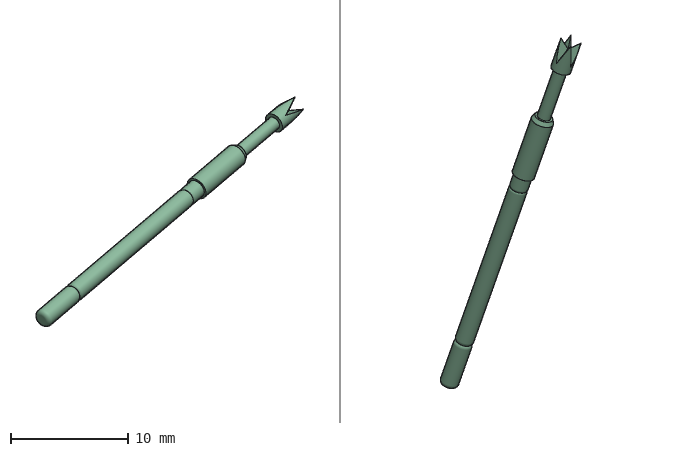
import cadquery as cq
import math


total_length = 36.0
head_length = 3.0
plunger_length = 5.0
collar_length = 6.0
collar_chamfer_length = 0.4

head_radius = 0.9
plunger_radius = 0.59
collar_radius = 1.0
collar_chamfer_width = 0.2
barrel_radius = 0.82
end_round = 0.4

front_crimp_distance = 1.45
front_crimp_half_width = 0.2
front_crimp_depth = 0.08
rear_crimp_distance = 17.5
rear_crimp_half_width = 0.3
rear_crimp_depth = 0.14

tooth_count = 4
crown_axis_depth = head_radius
crown_rim_depth = 2.2
valley_overlap = 0.1
valley_clearance = 0.2

collar_front = collar_length
head_rear = collar_front + plunger_length
tip = head_rear + head_length
barrel_end = tip - total_length


def make_barrel():
    """Solid cylinder with a rounded rear end; its front meets the rear face of the collar."""
    barrel = cq.Workplane("XZ").circle(barrel_radius).extrude(-barrel_end)
    return barrel.faces("<Y").edges().fillet(end_round)


def crimp_cutter(distance, half_width, depth):
    """Ring whose section is bounded by two convex arcs, each tangent to the barrel wall."""
    centre = -distance
    roll_radius = (half_width**2 + depth**2) / (2 * depth)
    half_sweep = math.asin(half_width / roll_radius) / 2
    mid_offset = half_width - roll_radius * math.sin(half_sweep)
    mid_radius = barrel_radius - roll_radius * (1 - math.cos(half_sweep))
    outside = collar_radius
    return (
        cq.Workplane("XY")
        .moveTo(outside, centre - half_width)
        .lineTo(barrel_radius, centre - half_width)
        .threePointArc((mid_radius, centre - mid_offset), (barrel_radius - depth, centre))
        .threePointArc((mid_radius, centre + mid_offset), (barrel_radius, centre + half_width))
        .lineTo(outside, centre + half_width)
        .close()
        .revolve(360, (0, 0, 0), (0, 1, 0))
    )


def make_collar():
    """Press ring with a tapered lead-in at its front edge."""
    collar = cq.Workplane("XZ").circle(collar_radius).extrude(-collar_length)
    return collar.faces(">Y").chamfer(collar_chamfer_length, collar_chamfer_width)


def make_plunger():
    """Thin plunger shaft carrying the larger cylindrical head."""
    shaft = cq.Workplane("XZ").circle(plunger_radius).extrude(-head_rear)
    head = cq.Workplane("XZ", origin=(0, head_rear, 0)).circle(head_radius).extrude(-head_length)
    return shaft.union(head)


def valley_cutter():
    """V groove running outward along +Z, its floor sinking from the axis to the rim."""
    inner = -valley_overlap
    outer = head_radius + valley_clearance
    floor_slope = (crown_rim_depth - crown_axis_depth) / head_radius
    half_pitch = math.pi / tooth_count
    tip_reach = head_radius * math.cos(half_pitch)
    tip_offset = head_radius * math.sin(half_pitch)
    flank_slope = (crown_axis_depth + floor_slope * tip_reach) / tip_offset

    def section(reach):
        depth = crown_axis_depth + floor_slope * reach
        half_width = (depth + valley_clearance) / flank_slope
        corners = [
            cq.Vector(0, tip - depth, reach),
            cq.Vector(half_width, tip + valley_clearance, reach),
            cq.Vector(-half_width, tip + valley_clearance, reach),
        ]
        return cq.Wire.makePolygon(corners, close=True)

    return cq.Workplane(cq.Solid.makeLoft([section(inner), section(outer)], True))


def cut_crown(body):
    """Cut one valley between each pair of neighbouring teeth."""
    pitch = 360 / tooth_count
    for index in range(tooth_count):
        angle = (index + 0.5) * pitch
        body = body.cut(valley_cutter().rotate((0, 0, 0), (0, 1, 0), angle))
    return body


barrel = make_barrel()
barrel = barrel.cut(crimp_cutter(front_crimp_distance, front_crimp_half_width, front_crimp_depth))
barrel = barrel.cut(crimp_cutter(rear_crimp_distance, rear_crimp_half_width, rear_crimp_depth))
plunger = cut_crown(make_plunger())
result = barrel.union(make_collar()).union(plunger)